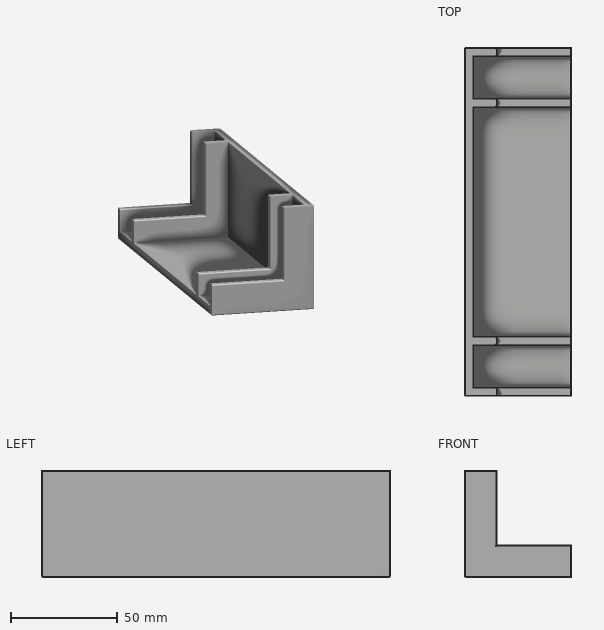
import cadquery as cq

length = 164.0
leg = 50.0
wall = 4.0
rib_depth = 15.0
end_bay = 20.0
edge_break = 0.6

inner_rib_offset = wall + end_bay
rib_starts = [
    0,
    inner_rib_offset,
    length - inner_rib_offset - wall,
    length - wall,
]


def angle_section(thickness, depth):
    """L-shaped bar of the given leg thickness, running along +Y from Y = 0."""
    return (
        cq.Workplane("XZ")
        .moveTo(0, 0)
        .lineTo(leg, 0)
        .lineTo(leg, thickness)
        .lineTo(thickness, thickness)
        .lineTo(thickness, leg)
        .lineTo(0, leg)
        .close()
        .extrude(-depth)
    )


body = angle_section(wall, length)
for rib_start in rib_starts:
    body = body.union(angle_section(rib_depth, wall).translate((0, rib_start, 0)))


def edges_along(axis, x, z):
    """Edges parallel to the axis whose centres lie at the given X and Z."""
    margin = edge_break / 2
    box = cq.selectors.BoxSelector(
        (x - margin, -margin, z - margin),
        (x + margin, length + margin, z + margin),
    )
    return body.edges("|" + axis).edges(box).vals()


rib_middle = (rib_depth + leg) / 2
rib_edges = edges_along("X", rib_middle, rib_depth) + edges_along("Z", rib_depth, rib_middle)

outer_edges = edges_along("X", leg / 2, 0) + edges_along("Z", 0, leg / 2) + edges_along("Y", 0, 0)

result = body.newObject(rib_edges + outer_edges).fillet(edge_break)